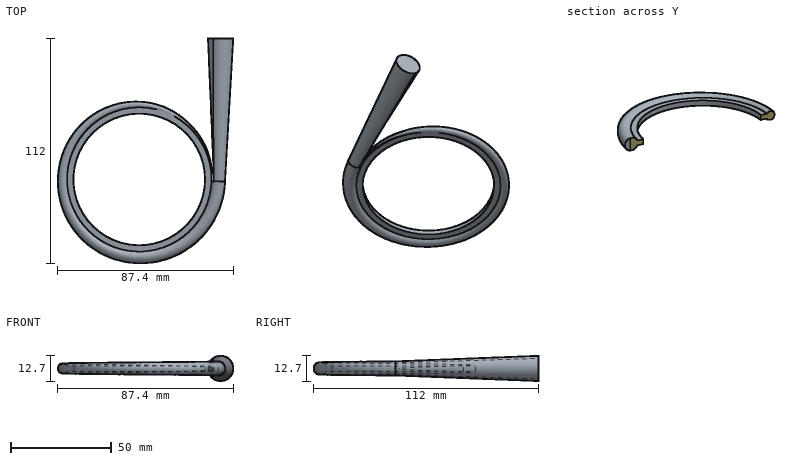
import math
import cadquery as cq

BORE_DIAMETER = 65.39
RING_OUTER_RADIUS = 36.0
RING_HEIGHT = 2.9

THROAT_RADIUS = 35.9
FULL_PIPE_RADIUS = 3.6
TONGUE_ANGLE = 1.0
TAIL_ANGLE = 45.0
TAIL_STEPS = 4
MAIN_STEPS = 14

NECK_LENGTH = 1.0
SEAM_ANGLE = 53.6
MOUTH_RADIUS = 12.69 / 2
MOUTH_CENTRE_X = 40.5
HORN_LENGTH = 70.17


def pipe_radius(angle):
    """Pipe radius at a wrap angle in degrees."""
    return FULL_PIPE_RADIUS * math.sqrt(angle / 360)


def pipe_centre_radius(angle):
    """Distance from the ring axis to the pipe centre, so the wall passes through the ring edges."""
    reach_squared = pipe_radius(angle) ** 2 - (RING_HEIGHT / 2) ** 2
    return THROAT_RADIUS + math.sqrt(max(reach_squared, 0))


def pipe_section(angle):
    """Round pipe section standing in the radial plane at a wrap angle."""
    turn = math.radians(angle)
    outward = cq.Vector(math.cos(turn), math.sin(turn), 0)
    along = cq.Vector(-math.sin(turn), math.cos(turn), 0)
    plane = cq.Plane(outward * pipe_centre_radius(angle), -outward, along)
    return cq.Workplane(plane).circle(pipe_radius(angle)).val()


def pipe_stretch(start, end, steps):
    """Smooth pipe between two wrap angles."""
    angles = [start + (end - start) * i / steps for i in range(steps + 1)]
    return cq.Workplane(cq.Solid.makeLoft([pipe_section(angle) for angle in angles]))


def outlet_section(centre_x, y, radius, flat_side):
    """Section across Y with seams at the seam angle, closed on the inner side by a chord or an arc."""
    seam = math.radians(SEAM_ANGLE)
    seam_x = centre_x - radius * math.cos(seam)
    seam_z = radius * math.sin(seam)
    top = cq.Vector(seam_x, y, seam_z)
    bottom = cq.Vector(seam_x, y, -seam_z)
    outer = cq.Edge.makeThreePointArc(top, cq.Vector(centre_x + radius, y, 0), bottom)
    if flat_side:
        inner = cq.Edge.makeLine(bottom, top)
    else:
        inner = cq.Edge.makeThreePointArc(bottom, cq.Vector(centre_x - radius, y, 0), top)
    return cq.Wire.assembleEdges([outer, inner])


def make_ring():
    ring = cq.Workplane("XY").circle(RING_OUTER_RADIUS).circle(BORE_DIAMETER / 2)
    return ring.extrude(RING_HEIGHT / 2, both=True)


def make_volute():
    neck_turn = math.degrees(math.asin(NECK_LENGTH / pipe_centre_radius(360)))
    tail = pipe_stretch(TONGUE_ANGLE, TAIL_ANGLE, TAIL_STEPS)
    main = pipe_stretch(TAIL_ANGLE, 360 - neck_turn, MAIN_STEPS)
    return tail.union(main)


def make_outlet():
    centre_x = pipe_centre_radius(360)
    neck_start = outlet_section(centre_x, -NECK_LENGTH, FULL_PIPE_RADIUS, True)
    neck_end = outlet_section(centre_x, 0, FULL_PIPE_RADIUS, True)
    mouth = outlet_section(MOUTH_CENTRE_X, HORN_LENGTH, MOUTH_RADIUS, False)
    neck = cq.Workplane(cq.Solid.makeLoft([neck_start, neck_end], True))
    horn = cq.Workplane(cq.Solid.makeLoft([neck_end, mouth], True))
    return neck.union(horn)


result = make_ring().union(make_volute()).union(make_outlet()).solids()